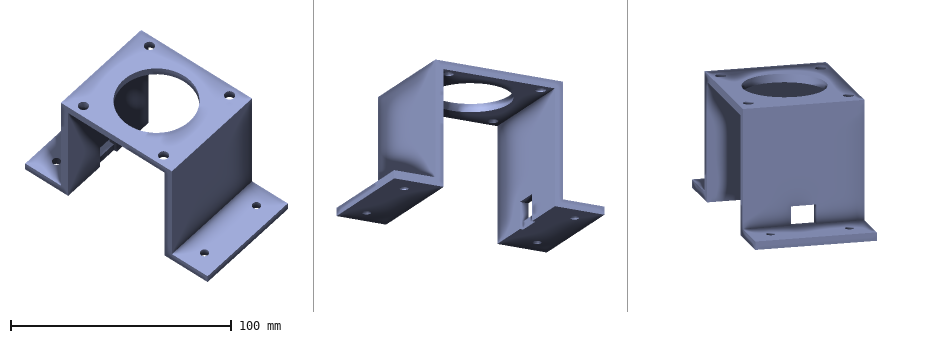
import cadquery as cq

length = 107.0
width = 57.0
height = 60.6

bridge_length = 65.1
plate_thickness = 4.0
inner_length = 56.6

bore_diameter = 39.0
top_hole_diameter = 5.0
top_hole_spacing = 47.0
flange_hole_diameter = 4.2
flange_hole_spacing_x = 86.8
flange_hole_spacing_y = 37.0
notch_width = 12.0
notch_height = 9.1
notch_recess_depth = 1.6

wall_thickness = (bridge_length - inner_length) / 2


def box_on_base(size_x, size_y, size_z, base_z=0):
    """Box centred in X and Y, standing at base_z."""
    return (
        cq.Workplane("XY")
        .workplane(offset=base_z)
        .box(size_x, size_y, size_z, centered=(True, True, False))
    )


def vertical_holes(diameter, spacing_x, spacing_y):
    """Four full-height cutters at the corners of a rectangle."""
    return (
        cq.Workplane("XY")
        .rect(spacing_x, spacing_y, forConstruction=True)
        .vertices()
        .circle(diameter / 2)
        .extrude(height)
    )


flanges = box_on_base(length, width, plate_thickness)
bridge = box_on_base(bridge_length, width, height)
inner_space = box_on_base(inner_length, width, height - plate_thickness)
bracket = flanges.union(bridge).cut(inner_space)

bore = cq.Workplane("XY").circle(bore_diameter / 2).extrude(height)
top_holes = vertical_holes(top_hole_diameter, top_hole_spacing, top_hole_spacing)
flange_holes = vertical_holes(
    flange_hole_diameter, flange_hole_spacing_x, flange_hole_spacing_y
)

wall_center_x = -(inner_length + wall_thickness) / 2
notch = box_on_base(
    wall_thickness, notch_width, notch_height, plate_thickness
).translate((wall_center_x, 0, 0))

recess_center_x = -(inner_length + notch_recess_depth) / 2
recess = box_on_base(
    notch_recess_depth, notch_width, plate_thickness
).translate((recess_center_x, 0, 0))

result = bracket.cut(bore).cut(top_holes).cut(flange_holes).cut(notch).cut(recess)